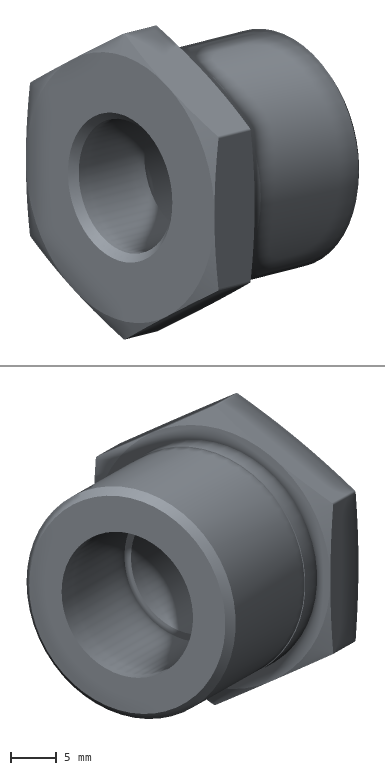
import cadquery as cq
import math

total_length = 24.0
head_thickness = 6.0
across_flats = 30.0
head_corner_fillet = 0.3
head_chamfer_angle = 15.0

collar_diameter = 26.65
collar_length = 2.5
spigot_diameter = 26.44
spigot_chamfer = 0.82

bore_diameter = 14.95
bore_chamfer = 0.83
bore_length = 10.6
relief_diameter = 16.6


def revolve_about_y(profile):
    """Turn a closed (radius, y) profile about the Y axis."""
    return cq.Workplane("XY").polyline(profile).close().revolve(360, (0, 0, 0), (0, 1, 0))


def make_head():
    """Hexagon with flats on +/-X, rounded corners and a conical chamfer on both faces."""
    sharp_corners = across_flats / math.cos(math.pi / 6)
    corner_turn = 30
    hexagon = (
        cq.Workplane("XZ")
        .polygon(6, sharp_corners)
        .extrude(-head_thickness)
        .edges("|Y")
        .fillet(head_corner_fillet)
        .rotate((0, 0, 0), (0, 1, 0), corner_turn)
    )
    face_radius = across_flats / 2
    outer_radius = sharp_corners / 2
    chamfer_depth = (outer_radius - face_radius) * math.tan(math.radians(head_chamfer_angle))
    turned_blank = revolve_about_y([
        (0, 0),
        (face_radius, 0),
        (outer_radius, chamfer_depth),
        (outer_radius, head_thickness - chamfer_depth),
        (face_radius, head_thickness),
        (0, head_thickness),
    ])
    return hexagon.intersect(turned_blank)


def make_shank():
    """Collar behind the head, then the spigot with its chamfered end."""
    collar_end = head_thickness + collar_length
    collar_radius = collar_diameter / 2
    spigot_radius = spigot_diameter / 2
    return revolve_about_y([
        (0, head_thickness),
        (collar_radius, head_thickness),
        (collar_radius, collar_end),
        (spigot_radius, collar_end),
        (spigot_radius, total_length - spigot_chamfer),
        (spigot_radius - spigot_chamfer, total_length),
        (0, total_length),
    ])


def make_bore():
    """Through bore, chamfered at the head face and wider towards the spigot end."""
    bore_radius = bore_diameter / 2
    relief_radius = relief_diameter / 2
    return revolve_about_y([
        (0, 0),
        (bore_radius + bore_chamfer, 0),
        (bore_radius, bore_chamfer),
        (bore_radius, bore_length),
        (relief_radius, bore_length),
        (relief_radius, total_length),
        (0, total_length),
    ])


result = make_head().union(make_shank()).cut(make_bore())